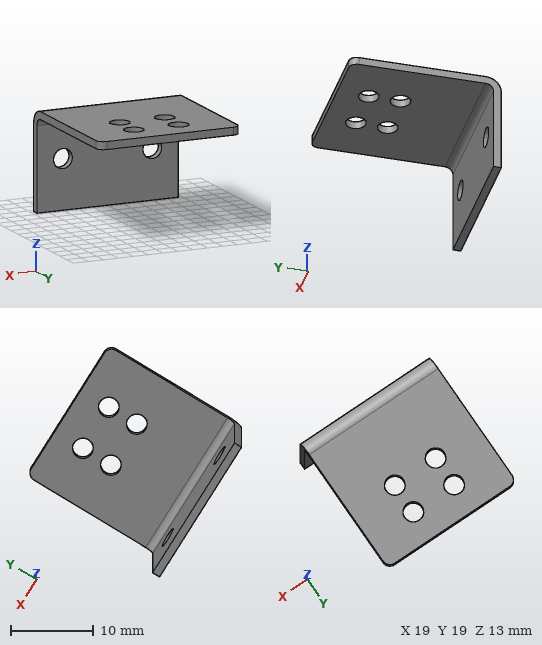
import cadquery as cq

width = 19.0
depth = 19.0
height = 13.0
thickness = 1.0

bend_outer_radius = 2.0
bend_inner_radius = bend_outer_radius - thickness
corner_radius = 1.0

hole_diameter = 2.5
top_hole_spacing_x = 6.0
top_hole_spacing_y = 4.0
top_hole_back_margin = 4.0
front_hole_spacing = 12.0
front_hole_height = height / 2


def bent_sheet():
    """L-shaped sheet with its front face at Y = 0 and its lower edge at Z = 0."""
    blank = (
        cq.Workplane("YZ")
        .polyline([
            (0, 0),
            (thickness, 0),
            (thickness, height - thickness),
            (depth, height - thickness),
            (depth, height),
            (0, height),
        ])
        .close()
        .extrude(width / 2, both=True)
    )
    inner_bend = cq.selectors.NearestToPointSelector((0, thickness, height - thickness))
    outer_bend = cq.selectors.NearestToPointSelector((0, 0, height))
    sheet = blank.edges(inner_bend).fillet(bend_inner_radius)
    sheet = sheet.edges(outer_bend).fillet(bend_outer_radius)
    return sheet.faces(">Y").edges("|Z").fillet(corner_radius)


def top_holes():
    """Cutters for the two-by-two hole group in the horizontal flange."""
    group_center_y = depth - top_hole_back_margin - top_hole_spacing_y / 2
    return (
        cq.Workplane("XY", origin=(0, group_center_y, height - thickness))
        .rarray(top_hole_spacing_x, top_hole_spacing_y, 2, 2)
        .circle(hole_diameter / 2)
        .extrude(thickness)
    )


def front_holes():
    """Cutters for the pair of holes in the vertical flange."""
    return (
        cq.Workplane("XZ", origin=(0, thickness, front_hole_height))
        .pushPoints([(-front_hole_spacing / 2, 0), (front_hole_spacing / 2, 0)])
        .circle(hole_diameter / 2)
        .extrude(thickness)
    )


result = bent_sheet().cut(top_holes()).cut(front_holes())